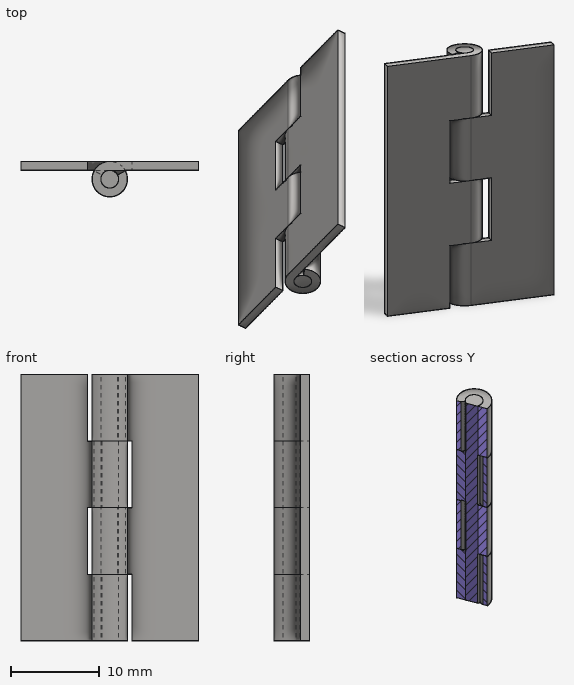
import cadquery as cq
import math

hinge_width = 20.0
hinge_height = 30.0
sheet_thickness = 1.0
pin_radius = 1.0
knuckle_count = 4
knuckle_clearance = 0.5
full_turn = 360.0
curl_start_angle = 90.0
curl_end_angle = 28.0

leaf_reach = hinge_width / 2
knuckle_radius = pin_radius + sheet_thickness
knuckle_height = hinge_height / knuckle_count
leaf_edge = knuckle_radius + knuckle_clearance


def polar(radius, angle):
    """Point at a radius and an angle in degrees about the pin axis."""
    radians = math.radians(angle)
    return (radius * math.cos(radians), radius * math.sin(radians))


def make_plate(height):
    """Flat part of a leaf that stays clear of the knuckles, on the +X side."""
    return (
        cq.Workplane("XY")
        .moveTo(leaf_edge, pin_radius)
        .lineTo(leaf_reach, pin_radius)
        .lineTo(leaf_reach, knuckle_radius)
        .lineTo(leaf_edge, knuckle_radius)
        .close()
        .extrude(height)
    )


def make_knuckle(base_z):
    """Sheet tab that leaves the plate tangentially and rolls around the pin."""
    curl_middle_angle = (curl_start_angle + curl_end_angle + full_turn) / 2
    return (
        cq.Workplane("XY", origin=(0, 0, base_z))
        .moveTo(leaf_edge, knuckle_radius)
        .lineTo(0, knuckle_radius)
        .threePointArc(polar(knuckle_radius, curl_middle_angle), polar(knuckle_radius, curl_end_angle))
        .lineTo(*polar(pin_radius, curl_end_angle))
        .threePointArc(polar(pin_radius, curl_middle_angle), (0, pin_radius))
        .lineTo(leaf_edge, pin_radius)
        .close()
        .extrude(knuckle_height)
    )


def make_leaf(first_knuckle):
    """Leaf on the +X side with every second knuckle, counted from the bottom."""
    leaf = make_plate(hinge_height)
    for index in range(first_knuckle, knuckle_count, 2):
        leaf = leaf.union(make_knuckle(index * knuckle_height))
    return leaf.clean()


def make_pin():
    """Plain pin, flush with both ends of the knuckle row."""
    return cq.Workplane("XY").circle(pin_radius).extrude(hinge_height)


right_leaf = make_leaf(first_knuckle=1)
left_leaf = make_leaf(first_knuckle=0).mirror("YZ")
pin = make_pin()

result = cq.Compound.makeCompound([right_leaf.val(), left_leaf.val(), pin.val()])